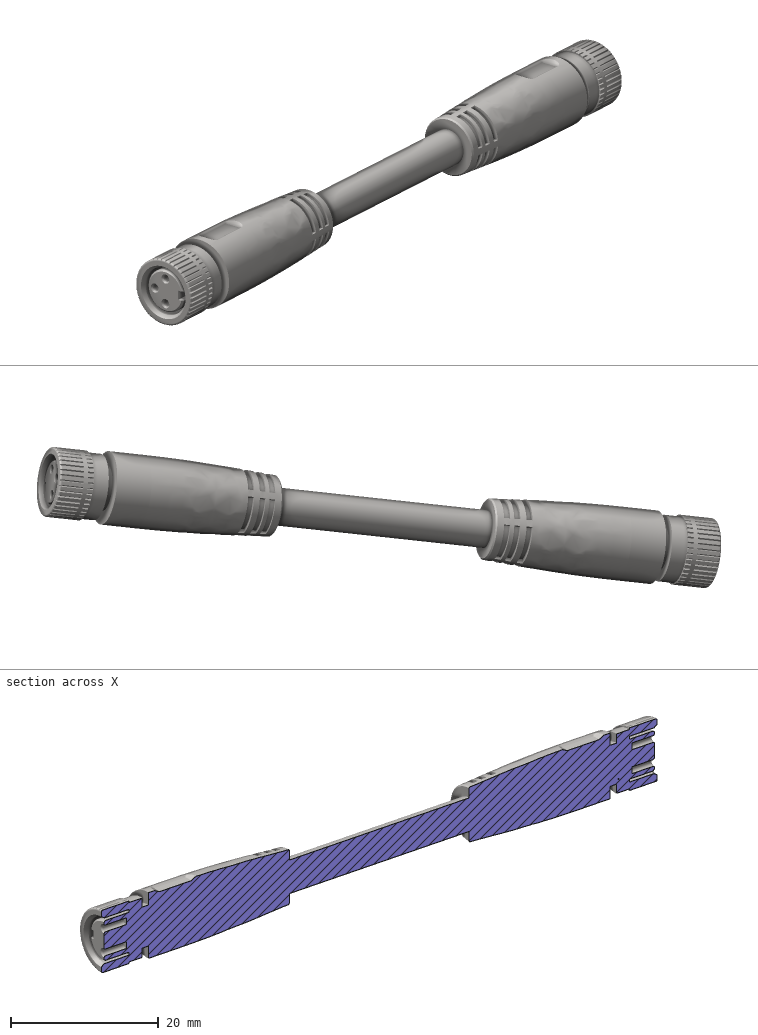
import cadquery as cq
import math

total_length = 95.4
half_length = total_length / 2

cable_radius = 2.6

body_start = 8.1
taper_start = 13.1
taper_end = 27.2
body_end = 32.3
body_diameter = 10.0
body_radius = body_diameter / 2
taper_end_diameter = 9.1
taper_end_radius = taper_end_diameter / 2
rear_radius = 4.2
rear_chamfer = 0.2

groove_starts = (27.2, 28.9, 30.3)
groove_width = 0.9
groove_floor_radius = 3.9
bridge_width = 1.0

label_start = 9.2
label_end = 16.3
label_width = 3.1
label_wall_run = 0.4
label_floor_height = 4.6
label_corner_radius = 0.1

nut_radius = 4.8
nut_rounding = 0.3
knurl_end = 4.9
collar_end = 7.1
collar_diameter = 9.1
collar_radius = collar_diameter / 2
neck_radius = 3.15

tooth_count = 40
knurl_root_radius = collar_radius
notch_width = 0.24
web_start = 3.4
web_width = 0.6

flare_radius = 3.8
bore_radius = 3.4
flare_depth = 0.6
gap_depth = 4.8
insert_radius = 3.1
insert_chamfer = 0.24
insert_recess = 0.5

socket_offset = 1.8
socket_radius = 0.5
socket_mouth_radius = 0.7
socket_depth = 3.8
socket_angles = (90, 180, 270)
key_inner_x = 2.2
key_width = 1.3
key_depth = 2.9


def ring(depth, length, inner, outer):
    """Round ring about the Y axis; depth is its front face."""
    start = cq.Workplane("XZ", origin=(0, depth, 0))
    return start.circle(outer).circle(inner).extrude(-length)


def connector_blank():
    """Turned outline of a connector, from nut front to cable exit."""
    taper_length = taper_end - taper_start
    taper_drop = body_radius - taper_end_radius
    mid_radius = body_radius - taper_drop / 4
    mid_depth = taper_start + taper_length / 2
    insert_rim = insert_recess + insert_chamfer
    return (
        cq.Workplane("XY")
        .moveTo(0, insert_recess)
        .lineTo(insert_radius - insert_chamfer, insert_recess)
        .lineTo(insert_radius, insert_rim)
        .lineTo(insert_radius, gap_depth)
        .lineTo(bore_radius, gap_depth)
        .lineTo(bore_radius, flare_depth)
        .lineTo(flare_radius, 0)
        .lineTo(nut_radius - nut_rounding, 0)
        .radiusArc((nut_radius, nut_rounding), -nut_rounding)
        .lineTo(nut_radius, knurl_end)
        .lineTo(collar_radius, knurl_end)
        .lineTo(collar_radius, collar_end)
        .lineTo(neck_radius, collar_end)
        .lineTo(neck_radius, body_start)
        .lineTo(body_radius, body_start)
        .lineTo(body_radius, taper_start)
        .threePointArc((mid_radius, mid_depth), (taper_end_radius, taper_end))
        .lineTo(rear_radius, body_end - rear_chamfer)
        .lineTo(rear_radius - rear_chamfer, body_end)
        .lineTo(0, body_end)
        .close()
        .revolve(360, (0, 0, 0), (0, 1, 0))
    )


def knurl_notch(depth, length):
    """One V notch along the top of the nut; depth is its front end."""
    overshoot = 0.2
    outer_z = nut_radius + overshoot
    outer_half = notch_width / 2 * (outer_z - knurl_root_radius) / (nut_radius - knurl_root_radius)
    return (
        cq.Workplane("XZ", origin=(0, depth, 0))
        .polyline([(0, knurl_root_radius), (outer_half, outer_z), (-outer_half, outer_z)])
        .close()
        .extrude(-length)
    )


def knurl_cuts():
    """V notches between the teeth, half a pitch off the X and Z axes."""
    pitch = 360 / tooth_count
    web_end = web_start + web_width
    notch_parts = (
        knurl_notch(0, web_start).val(),
        knurl_notch(web_end, knurl_end - web_end).val(),
    )
    notches = []
    for tooth in range(tooth_count):
        angle = (tooth + 0.5) * pitch
        for part in notch_parts:
            notches.append(part.rotate((0, 0, 0), (0, 1, 0), angle))
    return cq.Workplane(obj=cq.Compound.makeCompound(notches))


def relief_grooves():
    """Ring grooves left uncut at the four bridges on the X and Z axes."""
    cuts = cq.Workplane("XY")
    for depth in groove_starts:
        cuts = cuts.add(ring(depth, groove_width, groove_floor_radius, body_radius))
    cuts = cuts.combine()
    bridge_span = 2 * body_radius
    bridges = (
        cq.Workplane("XZ")
        .rect(bridge_span, bridge_width)
        .extrude(-body_end)
        .union(cq.Workplane("XZ").rect(bridge_width, bridge_span).extrude(-body_end))
    )
    return cuts.cut(bridges)


def label_recess():
    """Flat-floored pocket whose walls slope outwards to the body surface."""
    floor_width = label_width - 2 * label_wall_run
    rim_x = label_width / 2
    rim_rise = math.sqrt(body_radius ** 2 - rim_x ** 2) - label_floor_height
    wall_angle = math.degrees(math.atan2(label_wall_run, rim_rise))
    top_rise = body_radius - label_floor_height
    end_run = top_rise * label_wall_run / rim_rise
    floor_length = label_end - label_start - 2 * end_run
    middle = (label_start + label_end) / 2
    return (
        cq.Workplane("XY", origin=(0, middle, label_floor_height))
        .sketch()
        .rect(floor_width, floor_length)
        .vertices()
        .fillet(label_corner_radius)
        .finalize()
        .extrude(2 * top_rise, taper=-wall_angle)
    )


def insert_cuts():
    """Three countersunk contact sockets and the coding keyway."""
    countersink = socket_mouth_radius - socket_radius
    profile = (
        cq.Workplane("XY")
        .polyline([
            (0, insert_recess),
            (socket_mouth_radius, insert_recess),
            (socket_radius, insert_recess + countersink),
            (socket_radius, insert_recess + socket_depth),
            (0, insert_recess + socket_depth),
        ])
        .close()
        .revolve(360, (0, 0, 0), (0, 1, 0))
    )
    key_length = insert_radius - key_inner_x
    cuts = (
        cq.Workplane("XZ", origin=(key_inner_x + key_length / 2, insert_recess, 0))
        .rect(key_length, key_width)
        .extrude(-key_depth)
    )
    for angle in socket_angles:
        x = socket_offset * math.cos(math.radians(angle))
        z = socket_offset * math.sin(math.radians(angle))
        cuts = cuts.union(profile.translate((x, 0, z)))
    return cuts


def connector():
    """One complete connector with its nut front at Y = 0."""
    return (
        connector_blank()
        .cut(knurl_cuts())
        .cut(relief_grooves())
        .cut(label_recess())
        .cut(insert_cuts())
    )


front_connector = connector().translate((0, -half_length, 0))
rear_connector = front_connector.mirror("XZ")

cable_start = body_end - half_length
cable = cq.Workplane("XZ", origin=(0, cable_start, 0)).circle(cable_radius).extrude(2 * cable_start)

result = cable.union(front_connector).union(rear_connector)